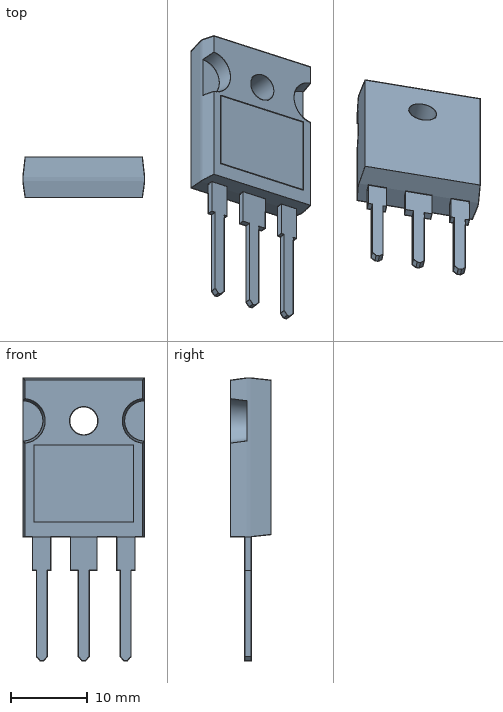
import cadquery as cq


TOTAL_HEIGHT = 36.8
BODY_WIDTH = 15.85
BODY_HEIGHT = 20.7
BODY_DEPTH = 5.3

FRONT_DEPTH = 2.15
BELT_DEPTH = 0.5
TAPER_INSET = 0.3

BELT_FRONT = FRONT_DEPTH
BELT_BACK = FRONT_DEPTH + BELT_DEPTH

HOLE_DIAMETER = 3.65
HOLE_TO_TOP = 5.6
HOLE_Z = BODY_HEIGHT - HOLE_TO_TOP
SCALLOP_FLOOR_RADIUS = 2.6
SCALLOP_FRONT_RADIUS = SCALLOP_FLOOR_RADIUS + TAPER_INSET

PANEL_WIDTH = 13.0
PANEL_HEIGHT = 10.0
PANEL_BOTTOM = 1.95
PANEL_DEPTH = 0.1

LEAD_LENGTH = TOTAL_HEIGHT - BODY_HEIGHT
LEAD_PITCH = 5.45
LEAD_WIDTH = 1.45
LEAD_THICKNESS = 0.9
LEAD_FRONT = 1.85
SHOULDER_LENGTH = 4.35
CENTER_SHOULDER_WIDTH = 3.5
OUTER_SHOULDER_WIDTH = 2.43
OUTER_SHOULDER_X = 5.5
TIP_LENGTH = 0.55
TIP_WIDTH = 0.45


def body_section(y, inset, bottom_inset):
    """Rectangular wire of the body at depth y, narrowed at the sides and top by inset."""
    half_width = BODY_WIDTH / 2 - inset
    top = BODY_HEIGHT - inset
    corners = [
        cq.Vector(-half_width, y, bottom_inset),
        cq.Vector(half_width, y, bottom_inset),
        cq.Vector(half_width, y, top),
        cq.Vector(-half_width, y, top),
    ]
    return cq.Wire.makePolygon(corners, close=True)


def make_body():
    """Belt with a tapered half on each side; only the front half keeps a flat bottom."""
    front_face = body_section(0, TAPER_INSET, 0)
    belt_front = body_section(BELT_FRONT, 0, 0)
    belt_back = body_section(BELT_BACK, 0, 0)
    back_face = body_section(BODY_DEPTH, TAPER_INSET, TAPER_INSET)
    sections = [front_face, belt_front, belt_back, back_face]
    return cq.Workplane(cq.Solid.makeLoft(sections, True))


def make_scallop(x):
    """Tapered round cutter that opens toward the front face."""
    return cq.Workplane(
        cq.Solid.makeCone(
            SCALLOP_FRONT_RADIUS,
            SCALLOP_FLOOR_RADIUS,
            FRONT_DEPTH,
            pnt=cq.Vector(x, 0, HOLE_Z),
            dir=cq.Vector(0, 1, 0),
        )
    )


def make_hole():
    """Round cutter through the whole depth of the body."""
    return cq.Workplane(
        cq.Solid.makeCylinder(
            HOLE_DIAMETER / 2,
            BODY_DEPTH,
            pnt=cq.Vector(0, 0, HOLE_Z),
            dir=cq.Vector(0, 1, 0),
        )
    )


def make_panel():
    """Cutter for the shallow rectangular recess in the front face."""
    return (
        cq.Workplane()
        .box(PANEL_WIDTH, PANEL_DEPTH, PANEL_HEIGHT, centered=(True, False, False))
        .translate((0, 0, PANEL_BOTTOM))
    )


def make_lead(x, shoulder_x, shoulder_width):
    """Flat lead with a wide shoulder under the body and a pointed tip."""
    shoulder = (
        cq.Workplane()
        .box(shoulder_width, LEAD_THICKNESS, SHOULDER_LENGTH, centered=(True, False, False))
        .translate((shoulder_x, LEAD_FRONT, -SHOULDER_LENGTH))
    )
    tip_start = TIP_LENGTH - LEAD_LENGTH
    blade = (
        cq.Workplane("XZ", origin=(x, LEAD_FRONT + LEAD_THICKNESS, 0))
        .moveTo(-LEAD_WIDTH / 2, 0)
        .lineTo(-LEAD_WIDTH / 2, tip_start)
        .lineTo(-TIP_WIDTH / 2, -LEAD_LENGTH)
        .lineTo(TIP_WIDTH / 2, -LEAD_LENGTH)
        .lineTo(LEAD_WIDTH / 2, tip_start)
        .lineTo(LEAD_WIDTH / 2, 0)
        .close()
        .extrude(LEAD_THICKNESS)
    )
    return shoulder.union(blade)


result = make_body().cut(make_hole()).cut(make_panel())

for side in (-1, 1):
    result = result.cut(make_scallop(side * BODY_WIDTH / 2))
    result = result.union(make_lead(side * LEAD_PITCH, side * OUTER_SHOULDER_X, OUTER_SHOULDER_WIDTH))

result = result.union(make_lead(0, 0, CENTER_SHOULDER_WIDTH))